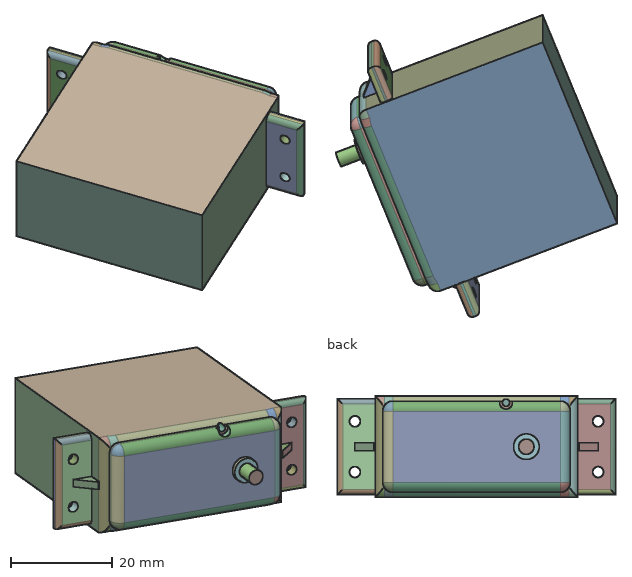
import cadquery as cq
import math

case_width = 40.0
case_height = 20.0
case_top = 39.5
shoulder_radius = 2.0

lid_end_inset = 1.5
lid_side_inset = 1.0
lid_top = 42.0
lid_radius = 2.0
lid_width = case_width - 2 * lid_end_inset
lid_height = case_height - 2 * lid_side_inset

shaft_x = -9.85
shaft_diameter = 3.0
shaft_top = 47.35
collar_diameter = 5.05
collar_top = 43.0

ear_span = 55.0
ear_height = 19.0
ear_bottom = 31.9
ear_thickness = 2.6
ear_top = ear_bottom + ear_thickness
ear_round = 1.05
ear_hole_diameter = 2.1
ear_hole_spacing_x = 48.0
ear_hole_spacing_z = 10.0

rib_thickness = 1.55
rib_top = 37.95
rib_tip_width = 0.3
rib_foot_width = 4.0

screw_x = -5.85
screw_inset = 0.35
screw_z = lid_height / 2 - screw_inset
screw_head_diameter = 2.55
screw_head_bottom = 40.35
screw_hole_diameter = 1.45
screw_hole_bottom = case_top - shoulder_radius

overlap = 0.55


def y_block(width, height, bottom, top):
    """Box centred on X and Z, reaching from bottom to top along Y."""
    return cq.Workplane("XY").box(width, top - bottom, height).translate((0, (bottom + top) / 2, 0))


def y_cylinder(x, z, diameter, bottom, top):
    """Cylinder along Y."""
    return cq.Workplane("XZ", origin=(x, bottom, z)).circle(diameter / 2).extrude(bottom - top)


def shoulder_profile(plane, width, inset):
    """Case outline whose shoulder arcs leave the walls tangentially and end at the inset on the top."""
    wall = width / 2
    centre_x = wall - shoulder_radius
    arc_end_x = wall - inset
    end_angle = math.acos((arc_end_x - centre_x) / shoulder_radius)
    arc_start_y = case_top - shoulder_radius * math.sin(end_angle)
    mid_x = centre_x + shoulder_radius * math.cos(end_angle / 2)
    mid_y = arc_start_y + shoulder_radius * math.sin(end_angle / 2)
    return (
        plane.moveTo(-wall, 0)
        .lineTo(wall, 0)
        .lineTo(wall, arc_start_y)
        .threePointArc((mid_x, mid_y), (arc_end_x, case_top))
        .lineTo(-arc_end_x, case_top)
        .threePointArc((-mid_x, mid_y), (-wall, arc_start_y))
        .close()
    )


def side_section(x, inset):
    """Case section across the width at a given X, with local axes Z and Y."""
    plane = cq.Plane(origin=(x, 0, 0), xDir=(0, 0, 1), normal=(-1, 0, 0))
    return shoulder_profile(cq.Workplane(plane), case_height, inset)


def make_case():
    """Case whose shoulders follow the foot of the lid, including the rounded lid corners."""
    end_profile = shoulder_profile(cq.Workplane("XY"), case_width, lid_end_inset)
    end_prism = end_profile.extrude(case_height / 2 + overlap, both=True)

    corner_x = lid_width / 2 - lid_radius
    full_round_angle = math.acos(1 - (shoulder_radius - lid_side_inset) / lid_radius)
    full_round_x = corner_x + lid_radius * math.sin(full_round_angle)
    section_count = 5
    sections = []
    for i in range(section_count):
        angle = full_round_angle * i / (section_count - 1)
        x = corner_x + lid_radius * math.sin(angle)
        inset = lid_side_inset + lid_radius * (1 - math.cos(angle))
        sections.append(side_section(x, inset).val())
    transition = cq.Workplane(cq.Solid.makeLoft(sections))

    end_x = case_width / 2 + overlap
    end_piece = side_section(end_x, shoulder_radius).extrude(end_x - full_round_x)
    middle = side_section(corner_x, lid_side_inset).extrude(2 * corner_x)
    side_prism = middle
    for piece in (transition, end_piece):
        side_prism = side_prism.union(piece).union(piece.mirror("YZ"))
    return end_prism.intersect(side_prism)


def make_lid():
    """Lid with equal rounds on its corners and its top edges."""
    lid = y_block(lid_width, lid_height, case_top - overlap, lid_top)
    return lid.edges("|Y").fillet(lid_radius).faces(">Y").edges().fillet(lid_radius)


def make_shaft():
    collar = y_cylinder(shaft_x, 0, collar_diameter, lid_top - overlap, collar_top)
    return collar.union(y_cylinder(shaft_x, 0, shaft_diameter, lid_top - overlap, shaft_top))


def make_ears():
    """One plate through the case forms both ears, with rounded rims and four screw holes."""
    ears = y_block(ear_span, ear_height, ear_bottom, ear_top)
    ears = ears.edges("#Y").fillet(ear_round)
    for x in (-ear_hole_spacing_x / 2, ear_hole_spacing_x / 2):
        for z in (-ear_hole_spacing_z / 2, ear_hole_spacing_z / 2):
            ears = ears.cut(y_cylinder(x, z, ear_hole_diameter, ear_bottom, ear_top))
    return ears


def make_ribs():
    """One plate through the case forms both ribs."""
    foot_x = case_width / 2 + rib_foot_width
    tip_x = case_width / 2 + rib_tip_width
    outline = [
        (-foot_x, ear_top),
        (-foot_x, ear_top - overlap),
        (foot_x, ear_top - overlap),
        (foot_x, ear_top),
        (tip_x, rib_top),
        (-tip_x, rib_top),
    ]
    return cq.Workplane("XY").polyline(outline).close().extrude(rib_thickness / 2, both=True)


def make_screw_recess():
    """Blind screw hole with a wider seat for the head."""
    hole = y_cylinder(screw_x, screw_z, screw_hole_diameter, screw_hole_bottom, lid_top)
    return hole.union(y_cylinder(screw_x, screw_z, screw_head_diameter, screw_head_bottom, lid_top))


result = (
    make_case()
    .union(make_lid())
    .union(make_shaft())
    .union(make_ears())
    .union(make_ribs())
    .cut(make_screw_recess())
)